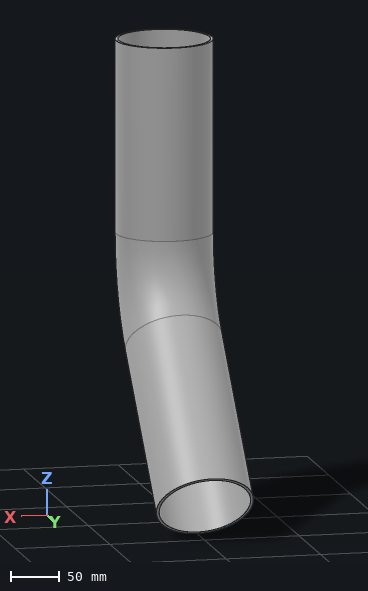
import cadquery as cq
import math

outer_diameter = 101.6
inner_diameter = 95.5
bend_angle = 45.0
bend_radius = 1.5 * outer_diameter
leg_length = 2.0 * outer_diameter


def bend_point(angle):
    """Centreline point (Y, Z) on the bend, at an angle in degrees below its upper end."""
    turn = math.radians(angle)
    return (bend_radius * (1 - math.cos(turn)), -bend_radius * math.sin(turn))


def make_centreline():
    """Vertical leg, bend towards +Y, then the sloping leg; the bend starts at the origin."""
    slope = math.radians(bend_angle)
    bend_end_y, bend_end_z = bend_point(bend_angle)
    lower_end = (
        bend_end_y + leg_length * math.sin(slope),
        bend_end_z - leg_length * math.cos(slope),
    )
    return (
        cq.Workplane("YZ")
        .moveTo(0, leg_length)
        .lineTo(0, 0)
        .threePointArc(bend_point(bend_angle / 2), bend_point(bend_angle))
        .lineTo(*lower_end)
    )


def make_pipe():
    """Sweep the pipe's ring section along the centreline from its upper end."""
    return (
        cq.Workplane("XY")
        .workplane(offset=leg_length)
        .circle(outer_diameter / 2)
        .circle(inner_diameter / 2)
        .sweep(make_centreline())
    )


result = make_pipe()